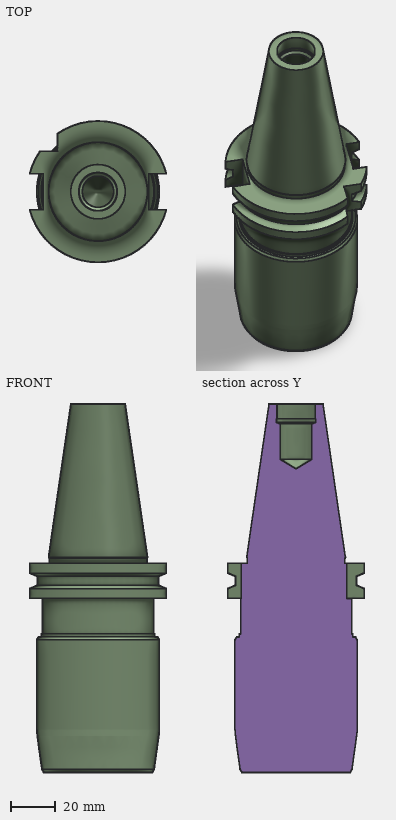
import cadquery as cq
import math

total_height = 165.2
flange_bottom = 78.0
flange_top = 93.9
gauge_height = 96.5

taper_rate = 7 / 24
gauge_diameter = 44.5
relief_diameter = 44.0
relief_top = 96.0

flange_diameter = 63.5
groove_diameter = 56.7
groove_half_floor = 2.0
groove_half_mouth = 3.5

slot_width = 16.0
left_slot_floor = 24.6
right_slot_floor = 22.8
notch_offset = 18.2

neck_diameter = 50.0
neck_bottom = 62.1
collar_diameter = 51.0
shoulder_diameter = 53.4
shoulder_height = 60.8
body_diameter = 55.0
body_top = 59.5
body_bottom = 19.3
blend_bottom = 16.4
blend_diameter = 54.5
nose_diameter = 50.4
nose_chamfer_height = 1.5
nose_chamfer_width = 0.8

bore_diameter = 17.0
undercut_diameter = 17.4
undercut_top_depth = 6.8
undercut_bottom_depth = 8.3
ledge_drop = 0.7
drill_diameter = 14.0
drill_depth = 24.8
drill_point_angle = 118.0


def turned_body():
    """Revolve the outer half-profile around the Z axis."""
    small_end_diameter = gauge_diameter - taper_rate * (total_height - gauge_height)
    flange_middle = (flange_bottom + flange_top) / 2
    nose_radius = nose_diameter / 2
    blend_drop = body_bottom - blend_bottom
    blend_inset = (body_diameter - blend_diameter) / 2
    blend_middle = (body_diameter / 2 - blend_inset / 4, body_bottom - blend_drop / 2)
    profile = (
        cq.Workplane("XZ")
        .lineTo(nose_radius - nose_chamfer_width, 0)
        .lineTo(nose_radius, nose_chamfer_height)
        .lineTo(blend_diameter / 2, blend_bottom)
        .threePointArc(blend_middle, (body_diameter / 2, body_bottom))
        .lineTo(body_diameter / 2, body_top)
        .lineTo(shoulder_diameter / 2, shoulder_height)
        .lineTo(collar_diameter / 2, shoulder_height)
        .lineTo(collar_diameter / 2, neck_bottom)
        .lineTo(neck_diameter / 2, neck_bottom)
        .lineTo(neck_diameter / 2, flange_bottom)
        .lineTo(flange_diameter / 2, flange_bottom)
        .lineTo(flange_diameter / 2, flange_middle - groove_half_mouth)
        .lineTo(groove_diameter / 2, flange_middle - groove_half_floor)
        .lineTo(groove_diameter / 2, flange_middle + groove_half_floor)
        .lineTo(flange_diameter / 2, flange_middle + groove_half_mouth)
        .lineTo(flange_diameter / 2, flange_top)
        .lineTo(relief_diameter / 2, flange_top)
        .lineTo(relief_diameter / 2, relief_top)
        .lineTo(gauge_diameter / 2, gauge_height)
        .lineTo(small_end_diameter / 2, total_height)
        .lineTo(0, total_height)
        .close()
    )
    return profile.revolve(360, (0, 0, 0), (0, 1, 0))


def flange_cutter(x_start, x_end, y_start, y_end):
    """Rectangular block spanning the flange height."""
    return (
        cq.Workplane("XY", origin=(0, 0, flange_bottom))
        .moveTo(x_start, y_start)
        .lineTo(x_end, y_start)
        .lineTo(x_end, y_end)
        .lineTo(x_start, y_end)
        .close()
        .extrude(flange_top - flange_bottom)
    )


def bore_cutter():
    """Stepped bore with a narrow undercut and a conical drill point."""
    undercut_top = total_height - undercut_top_depth
    undercut_bottom = total_height - undercut_bottom_depth
    drill_bottom = total_height - drill_depth
    point_height = drill_diameter / 2 / math.tan(math.radians(drill_point_angle / 2))
    profile = (
        cq.Workplane("XZ")
        .moveTo(0, total_height)
        .lineTo(bore_diameter / 2, total_height)
        .lineTo(bore_diameter / 2, undercut_top)
        .lineTo(undercut_diameter / 2, undercut_top)
        .lineTo(undercut_diameter / 2, undercut_bottom)
        .lineTo(drill_diameter / 2, undercut_bottom - ledge_drop)
        .lineTo(drill_diameter / 2, drill_bottom)
        .lineTo(0, drill_bottom - point_height)
        .close()
    )
    return profile.revolve(360, (0, 0, 0), (0, 1, 0))


half_slot = slot_width / 2
left_slot = flange_cutter(-flange_diameter, -left_slot_floor, -half_slot, half_slot)
right_slot = flange_cutter(right_slot_floor, flange_diameter, -half_slot, half_slot)
notch = flange_cutter(-flange_diameter, -notch_offset, notch_offset, flange_diameter)

result = turned_body().cut(left_slot).cut(right_slot).cut(notch).cut(bore_cutter())